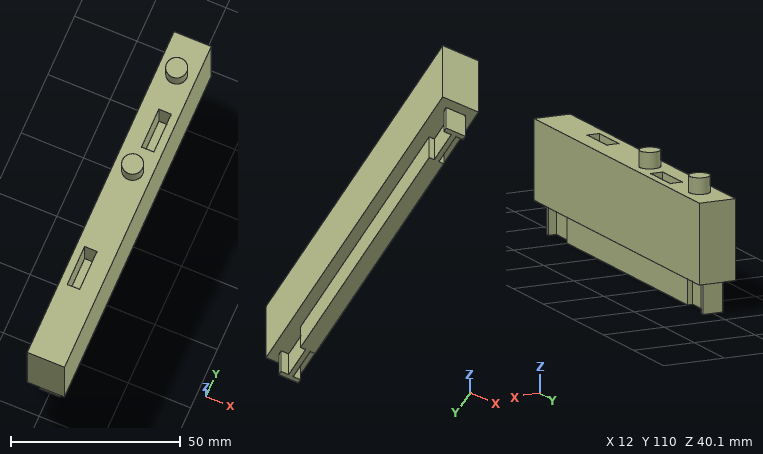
import cadquery as cq

body_width = 12.0
body_length = 110.0
body_height = 25.0

peg_diameter = 6.5
peg_height = 5.1
peg_distances = (12.0, 45.0)

slot_width = 4.0
slot_length = 13.0
slot_depth = 10.0
slot_offset = 1.5
slot_distances_and_sides = ((30.8, 1), (79.2, -1))

skirt_height = 10.0
skirt_end_inset = 3.0
end_plate_width = 6.5
end_plate_thickness = 1.4
web_width = 1.5
middle_width = 5.0
middle_end_inset = 15.0

skirt_length = body_length - 2 * skirt_end_inset
middle_length = body_length - 2 * middle_end_inset
end_plate_y = (skirt_length - end_plate_thickness) / 2


def y_from_end(distance):
    """Y position at a distance from the +Y end of the body."""
    return body_length / 2 - distance


def skirt_block(width, length, y=0):
    """Box hanging from the underside of the body."""
    return (
        cq.Workplane("XY")
        .center(0, y)
        .rect(width, length)
        .extrude(-skirt_height)
    )


result = cq.Workplane("XY").rect(body_width, body_length).extrude(body_height)

result = result.union(skirt_block(web_width, skirt_length))
result = result.union(skirt_block(middle_width, middle_length))
for side in (-1, 1):
    result = result.union(skirt_block(end_plate_width, end_plate_thickness, side * end_plate_y))

pegs = (
    cq.Workplane("XY", origin=(0, 0, body_height))
    .pushPoints([(0, y_from_end(distance)) for distance in peg_distances])
    .circle(peg_diameter / 2)
    .extrude(peg_height)
)
result = result.union(pegs)

slots = (
    cq.Workplane("XY", origin=(0, 0, body_height))
    .pushPoints([(side * slot_offset, y_from_end(distance)) for distance, side in slot_distances_and_sides])
    .rect(slot_width, slot_length)
    .extrude(-slot_depth)
)
result = result.cut(slots)